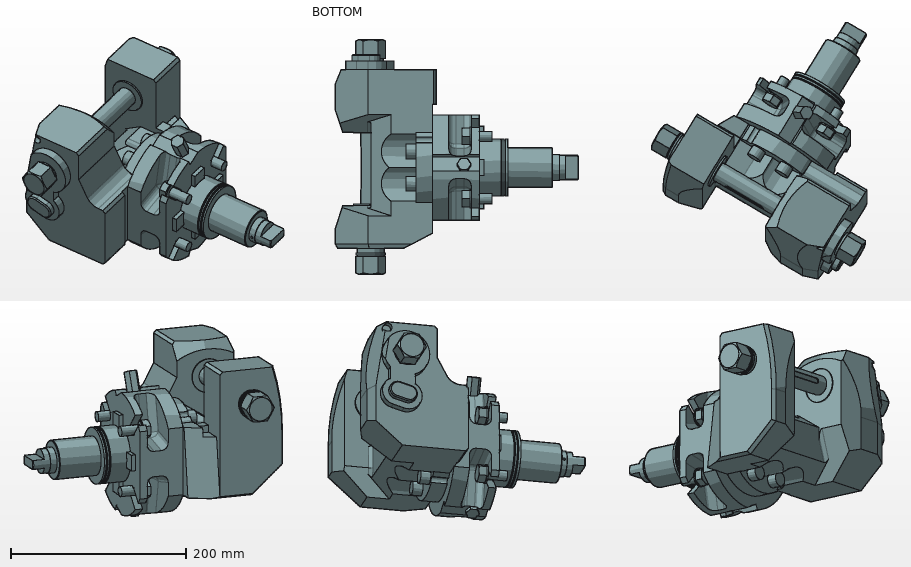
import cadquery as cq
import math


BODY_FRONT = -164.5
BODY_TOP = 109.2
BODY_HALF_HEIGHT = 40.2
BODY_BACK = -53.2
LEFT_INNER, LEFT_OUTER = 43.5, 92.0
RIGHT_INNER, RIGHT_OUTER = -40.2, -111.5
ARM_BACK = -85.7
FRONT_ARC_START = 30.2
FRONT_TOP = -152.5
BEVEL_CORNER = -155.8
RIGHT_BEVEL_START = -95.0
RIGHT_BEVEL_END = -157.8
WEB_FRONT = -123.5
WEB_HALF_HEIGHT = 19.7
SIDE_FLOOR = 30.2

FLANGE_RADIUS, FLANGE_FRONT = 56.5, -72.0
HOUSING_RADIUS = 72.0
HOUSING_HALF_WIDTH = 60.2
POCKET_FRONT, POCKET_BACK = -35.0, -9.1
POCKET_APEX = 22.7
POCKET_EDGE = 15.0
CLAMP_OFFSET = 35.5
CLAMP_RADIUS = 5.8
BODY_BOLT_Y, BODY_BOLT_Z = 18.3, 38.8
BODY_BOLT_RADIUS = 8.3

SCREW_TILT = 25
SCREW_X = -17.5
SCREW_CORNER_RADIUS = 8.0
NOTCH_EDGE = 4.0
NOTCH_LENGTH = 17.5

PIN_X, PIN_Z = -124.0, 69.3
PIN_RADIUS = 11.5
NUT_CORNER_RADIUS = 17.2
NUT_LEFT_END, NUT_RIGHT_END = 121.7, -145.8
LEVER_FACE = -121.5


def along_x(x_start, x_end, radius, y=0, z=0):
    """Cylinder parallel to X."""
    return cq.Workplane("YZ", origin=(x_start, y, z)).circle(radius).extrude(x_end - x_start)


def along_y(y_start, y_end, radius, x=PIN_X, z=PIN_Z):
    """Cylinder parallel to Y; the XZ workplane normal is -Y."""
    return cq.Workplane("XZ", origin=(x, y_start, z)).circle(radius).extrude(y_start - y_end)


def block(x_range, y_range, z_range):
    sizes = [end - start for start, end in (x_range, y_range, z_range)]
    corner = (x_range[0], y_range[0], z_range[0])
    return cq.Workplane("XY").box(*sizes, centered=False).translate(corner)


def profile_y(points, y_start, y_end):
    """Prism along Y from a polygon in X and Z."""
    return cq.Workplane("XZ", origin=(0, y_start, 0)).polyline(points).close().extrude(y_start - y_end)


def half_space(a, b, c, outward):
    """Large block beyond the plane through three points, on the side of the outward direction."""
    origin = cq.Vector(*a)
    along = cq.Vector(*b) - origin
    normal = along.cross(cq.Vector(*c) - origin)
    if normal.dot(cq.Vector(*outward)) < 0:
        normal = -normal
    size = 554.5
    plane = cq.Plane(origin=a, xDir=along.toTuple(), normal=normal.toTuple())
    return cq.Workplane(plane).rect(size, size).extrude(size)


def hex_head(origin, x_dir, normal, corner_radius, length, chamfer=3.3):
    """Hexagonal head with one corner on x_dir, growing along the normal, its far corners turned down."""
    prism = cq.Workplane("XY").polygon(6, 2 * corner_radius).extrude(length)
    envelope = cq.Workplane("XY").circle(corner_radius).extrude(length)
    envelope = envelope.faces(">Z").chamfer(chamfer / 2, chamfer)
    head = prism.intersect(envelope)
    return cq.Workplane(head.val().moved(cq.Location(cq.Plane(origin, x_dir, normal))))


def arm(y_start, y_end):
    """One arm of the body: rounded front, sloped chin and a swept step down to the housing."""
    front_middle = (-161.6, 70.0)
    top_chamfer = 3.3
    ramp_top = (ARM_BACK, 70.7)
    ramp_foot = (-73.5, 48.2)
    sweep_middle = (-67.5, 42.7)
    sweep_end = (-58.5, BODY_HALF_HEIGHT)
    chin_x, chin_z = -126.7, -7.5
    return (
        cq.Workplane("XZ", origin=(0, y_start, 0))
        .moveTo(BODY_FRONT, chin_z)
        .lineTo(BODY_FRONT, FRONT_ARC_START)
        .threePointArc(front_middle, (FRONT_TOP, BODY_TOP))
        .lineTo(ARM_BACK - top_chamfer, BODY_TOP)
        .lineTo(ARM_BACK, BODY_TOP - top_chamfer)
        .lineTo(*ramp_top)
        .lineTo(*ramp_foot)
        .threePointArc(sweep_middle, sweep_end)
        .lineTo(BODY_BACK, BODY_HALF_HEIGHT)
        .lineTo(BODY_BACK, -BODY_HALF_HEIGHT)
        .lineTo(chin_x, -BODY_HALF_HEIGHT)
        .close()
        .extrude(y_start - y_end)
    )


def left_arm():
    chamfer_width, chamfer_depth = 5.0, 2.8
    bevel_start = 70.0
    taper_low, taper_high = 75.0, 63.0
    body = arm(LEFT_INNER, LEFT_OUTER)
    front_edges = cq.selectors.BoxSelector(
        (BODY_FRONT - 2.8, LEFT_OUTER - 0.3, -BODY_HALF_HEIGHT - 2.8),
        (ARM_BACK, LEFT_OUTER + 0.3, BODY_TOP - 2.8),
    )
    body = body.edges(front_edges).chamfer(chamfer_width, chamfer_depth)
    bevel = half_space(
        (BODY_FRONT, bevel_start, 0),
        (BEVEL_CORNER, LEFT_INNER, 0),
        (BODY_FRONT, bevel_start, 2.8),
        (-1, 0, 0),
    )
    rear_taper = half_space(
        (ARM_BACK, LEFT_OUTER, -BODY_HALF_HEIGHT),
        (BODY_BACK, taper_low, -BODY_HALF_HEIGHT),
        (BODY_BACK, taper_high, BODY_HALF_HEIGHT),
        (0, 1, 0),
    )
    rear_heights = (-BODY_HALF_HEIGHT, BODY_HALF_HEIGHT)
    rear_zone = block((ARM_BACK, BODY_BACK), (LEFT_INNER, LEFT_OUTER), rear_heights)
    rear_taper = rear_taper.intersect(rear_zone)
    rear_step = block((ARM_BACK, FLANGE_FRONT), (LEFT_INNER, LEFT_OUTER), (SIDE_FLOOR, BODY_TOP))
    rear_ledge = block((FLANGE_FRONT, BODY_BACK), (LEFT_INNER, LEFT_OUTER), (BODY_HALF_HEIGHT, BODY_TOP))
    return body.cut(bevel).cut(rear_taper).cut(rear_step).cut(rear_ledge)


def lever():
    """Plate on the right arm that joins the pin disc to a slanted key boss."""
    key_x, key_z = -129.2, 19.5
    key_spacing, key_slant = 13.3, -15
    plate_radius, boss_radius = 17.0, 9.7
    boss_end = -129.0
    disc_radius = 27.0
    neck = block((-143.0, -114.0), (LEVER_FACE, RIGHT_OUTER), (key_z, PIN_Z))
    plate = along_y(RIGHT_OUTER, LEVER_FACE, disc_radius).union(neck)
    for radius, face in ((plate_radius, LEVER_FACE), (boss_radius, boss_end)):
        pad = (
            cq.Workplane("XZ", origin=(key_x, RIGHT_OUTER, key_z))
            .transformed(rotate=(0, 0, key_slant))
            .slot2D(key_spacing + 2 * radius, 2 * radius)
            .extrude(RIGHT_OUTER - face)
        )
        if radius == boss_radius:
            pad = pad.faces("<Y").chamfer(1.5)
        plate = plate.union(pad)
    return plate


def right_arm():
    body = arm(RIGHT_INNER, RIGHT_OUTER).union(lever())

    inner_bevel_start = -65.7
    inner_bevel = half_space(
        (BODY_FRONT, inner_bevel_start, 0),
        (BEVEL_CORNER, RIGHT_INNER, 0),
        (BODY_FRONT, inner_bevel_start, 2.8),
        (-1, 0, 0),
    )
    bevel_top = RIGHT_BEVEL_START + 1.5
    start = (BODY_FRONT, RIGHT_BEVEL_START, FRONT_ARC_START)
    end = (RIGHT_BEVEL_END, RIGHT_OUTER, FRONT_ARC_START)
    lower_bevel = half_space(start, end, (BODY_FRONT, RIGHT_BEVEL_START, 0), (-1, 0, 0))
    upper_bevel = half_space(start, end, (FRONT_TOP, bevel_top, BODY_TOP), (-1, 0, 0))
    body = body.cut(inner_bevel).cut(lower_bevel).cut(upper_bevel)

    cone_x, cone_z = -123.5, 29.0
    inner_radius, outer_radius, cone_depth = 71.5, 113.0, 41.5
    cone = cq.Workplane("XZ", origin=(cone_x, RIGHT_INNER, cone_z)).circle(inner_radius)
    cone = cone.workplane(offset=cone_depth).circle(outer_radius).loft()
    relief = block((-194, -69.3), (RIGHT_INNER - cone_depth, RIGHT_INNER), (cone_z, 138.5)).cut(cone)
    body = body.cut(relief)

    pad_chamfer = 3.3
    pad_back, pad_inner = -49.0, -72.0
    pad = block((BODY_BACK - 5.5, pad_back), (RIGHT_OUTER, pad_inner), (-BODY_HALF_HEIGHT, BODY_HALF_HEIGHT))
    pad = pad.faces(">X").edges("|Y").chamfer(pad_chamfer)
    hole_depth, hole_radius = 7.0, 5.0
    hole = along_y(RIGHT_OUTER + hole_depth, RIGHT_OUTER - 2.8, hole_radius, x=-144.0, z=102.5)
    return body.union(pad).cut(hole)


def web():
    """Bridge between the arms, hollowed around the flange bolts."""
    chamfer_run = 22.7
    ledge_z = 38.3
    ledge_x = -94.3
    right_overlap, left_overlap = 22.2, 14.0
    bridge = profile_y(
        [
            (WEB_FRONT, -WEB_HALF_HEIGHT),
            (WEB_FRONT, WEB_HALF_HEIGHT),
            (ledge_x, ledge_z),
            (BODY_BACK, ledge_z),
            (BODY_BACK, -BODY_HALF_HEIGHT),
            (WEB_FRONT + chamfer_run, -BODY_HALF_HEIGHT),
        ],
        RIGHT_INNER - right_overlap,
        LEFT_INNER + left_overlap,
    )
    scallop_radius = 25.0
    scallop_z = SIDE_FLOOR + scallop_radius
    for y in (-BODY_BOLT_Y, BODY_BOLT_Y):
        for z in (-scallop_z, scallop_z):
            bridge = bridge.cut(along_x(WEB_FRONT - 2.8, FLANGE_FRONT, scallop_radius, y, z))
    side_floor = block((WEB_FRONT - 2.8, FLANGE_FRONT), (BODY_BOLT_Y, LEFT_INNER), (SIDE_FLOOR, 55.5))
    return bridge.cut(side_floor)


def chin_flare():
    """Space in front of the web that widens toward the bottom between the arms."""
    bottom = -BODY_HALF_HEIGHT - 2.8
    left_start, left_foot = -9.0, 56.0
    right_start, right_foot = 18.0, -61.3
    corners = [(LEFT_INNER, left_start), (left_foot, bottom), (right_foot, bottom), (RIGHT_INNER, right_start)]
    return (
        cq.Workplane("YZ", origin=(BODY_FRONT - 2.8, 0, 0))
        .polyline(corners)
        .close()
        .extrude(FLANGE_FRONT - BODY_FRONT)
    )


def corner_pocket():
    """V-shaped pocket with rounded floor edges for the clamp bolt in the +Y +Z corner."""
    reach = 83.2
    slope = (POCKET_APEX - POCKET_EDGE) / (HOUSING_HALF_WIDTH - POCKET_APEX)
    low = POCKET_APEX - slope * (reach - POCKET_APEX)
    wedge = (
        cq.Workplane("YZ", origin=(POCKET_FRONT, 0, 0))
        .polyline([(POCKET_APEX, POCKET_APEX), (reach, low), (reach, reach), (low, reach)])
        .close()
        .extrude(POCKET_BACK - POCKET_FRONT)
    )
    apex = cq.selectors.NearestToPointSelector((POCKET_FRONT / 2, POCKET_APEX, POCKET_APEX))
    apex_radius, floor_radius = 6.0, 8.3
    wedge = wedge.edges("|X").edges(apex).fillet(apex_radius)
    inner_zone = cq.selectors.BoxSelector((POCKET_FRONT - 2.8, 0, 0), (0, reach - 2.8, reach - 2.8))
    return wedge.edges("not |X").edges(inner_zone).fillet(floor_radius)


def clamp_bolt():
    """Hexagon bolt through the housing rim in the +Y +Z corner."""
    head_start, washer_start, shank_end = -20.0, -10.8, 14.5
    center = (washer_start, CLAMP_OFFSET, CLAMP_OFFSET)
    head_radius, head_chamfer = 10.8, 1.0
    head_length = washer_start - head_start
    head = hex_head(center, (0, 0, 1), (-1, 0, 0), head_radius, head_length, head_chamfer)
    washer = along_x(washer_start, POCKET_BACK, head_radius, CLAMP_OFFSET, CLAMP_OFFSET)
    shank = along_x(washer_start, shank_end, CLAMP_RADIUS, CLAMP_OFFSET, CLAMP_OFFSET)
    return head.union(washer).union(shank)


def clamp_slot():
    """Radial slot through the rear rim that lets the clamp bolt slide in."""
    length, width = 55.5, 14.0
    center = CLAMP_OFFSET + length / 2 * math.sqrt(0.5)
    slot = block((POCKET_BACK, 0), (-length / 2, length / 2), (-width / 2, width / 2))
    return slot.rotate((0, 0, 0), (1, 0, 0), 45).translate((0, center, center))


def in_each_corner(shape):
    pair = shape.union(shape.mirror("XZ"))
    return pair.union(pair.mirror("XY"))


def screw_notch():
    """Step in the housing rim whose floor is square to the tilted adjusting screw."""
    height = 27.7
    notch = block((BODY_BACK, 0), (-NOTCH_LENGTH, 0), (0, height))
    edge_z = math.sqrt(HOUSING_RADIUS**2 - NOTCH_EDGE**2)
    return notch.rotate((0, 0, 0), (1, 0, 0), SCREW_TILT).translate((0, NOTCH_EDGE, edge_z))


def adjusting_screw(head_y, head_z, side):
    """Hexagonal screw leaning toward -Y; side is 1 on top of the housing and -1 below."""
    length = 29.0
    lean = math.radians(SCREW_TILT)
    axis = (0, -math.sin(lean), side * math.cos(lean))
    start = (SCREW_X, head_y - length * axis[1], head_z - length * axis[2])
    chamfer = 0.5
    return hex_head(start, (1, 0, 0), axis, SCREW_CORNER_RADIUS, length, chamfer)


def housing():
    disc = along_x(BODY_BACK, 0, HOUSING_RADIUS)
    flats = block(
        (BODY_BACK, 0), (-HOUSING_HALF_WIDTH, HOUSING_HALF_WIDTH), (-HOUSING_RADIUS, HOUSING_RADIUS)
    )
    notch = screw_notch()
    solid = disc.intersect(flats)
    solid = solid.cut(in_each_corner(corner_pocket().union(clamp_slot())))
    solid = solid.cut(notch).cut(notch.mirror("XY"))
    solid = solid.union(in_each_corner(clamp_bolt()))
    upper_screw = adjusting_screw(head_y=-12.2, head_z=91.2, side=1)
    lower_screw = adjusting_screw(head_y=-4.2, head_z=-73.0, side=-1)
    return solid.union(upper_screw).union(lower_screw)


def flange():
    """Disc between web and housing with two rim notches and the heads of four body bolts."""
    bolt_head_start = -83.7
    notch_radius, notch_angle = 4.0, math.radians(56)
    notch_y, notch_z = FLANGE_RADIUS * math.cos(notch_angle), FLANGE_RADIUS * math.sin(notch_angle)
    ring = along_x(FLANGE_FRONT, BODY_BACK, FLANGE_RADIUS)
    for side in (-1, 1):
        ring = ring.cut(along_x(FLANGE_FRONT, BODY_BACK, notch_radius, side * notch_y, side * notch_z))
    bolt = along_x(bolt_head_start, FLANGE_FRONT, BODY_BOLT_RADIUS, BODY_BOLT_Y, BODY_BOLT_Z)
    return ring.union(in_each_corner(bolt))


def spindle():
    """Stepped shaft behind the housing with ring grooves, driving keys and a flat tang."""
    hub_end, hub_radius = 32.5, 32.7
    shaft_end, shaft_radius = 83.5, 22.7
    collar_end, collar_radius = 91.2, 15.0
    tail_end, tail_radius = 98.5, 14.1
    tang_end, tang_thickness = 112.8, 10.5
    hub = along_x(0, hub_end, hub_radius)
    groove_width, groove_depth = 1.5, 1.0
    for x in (24.5, 28.3):
        groove = along_x(x, x + groove_width, hub_radius)
        hub = hub.cut(groove.cut(along_x(x, x + groove_width, hub_radius - groove_depth)))
    shaft = along_x(0, shaft_end, shaft_radius).faces(">X").chamfer(0.8)
    collar = along_x(shaft_end, collar_end, collar_radius)
    collar = collar.cut(along_y(0, -collar_radius, 1.5, x=87.3, z=0))
    tail = along_x(collar_end, tail_end, tail_radius)
    tang = along_x(tail_end, tang_end, tail_radius).faces(">X").chamfer(1.0)
    tang = tang.intersect(
        block((tail_end, tang_end), (-tail_radius, tail_radius), (-tang_thickness / 2, tang_thickness / 2))
    )
    shape = hub.union(shaft).union(collar).union(tail).union(tang)

    key_depth, key_width, key_radius = 5.0, 18.5, 47.0
    for width_y, width_z in ((2 * key_radius, key_width), (key_width, 2 * key_radius)):
        shape = shape.union(cq.Workplane("YZ").rect(width_y, width_z).extrude(key_depth))
    return shape


def cross_pin():
    """Pin through both arms with a hexagon nut on each end and washers at the arms."""
    pin = along_y(NUT_LEFT_END - 2.8, NUT_RIGHT_END + 2.8, PIN_RADIUS)
    keyway_length, keyway_width, keyway_depth = 50.7, 6.0, 1.7
    keyway = (
        cq.Workplane("YZ", origin=(PIN_X - PIN_RADIUS - 2.8, 0.5, PIN_Z))
        .slot2D(keyway_length, keyway_width)
        .extrude(2.8 + keyway_depth)
    )
    pin = pin.cut(keyway)

    left_nut_seat, right_nut_seat = 101.2, -124.2
    left_length = NUT_LEFT_END - left_nut_seat
    right_length = right_nut_seat - NUT_RIGHT_END
    left_seat = (PIN_X, left_nut_seat, PIN_Z)
    right_seat = (PIN_X, right_nut_seat, PIN_Z)
    left_nut = hex_head(left_seat, (1, 0, 0), (0, 1, 0), NUT_CORNER_RADIUS, left_length)
    right_nut = hex_head(right_seat, (1, 0, 0), (0, -1, 0), NUT_CORNER_RADIUS, right_length)
    pin = pin.union(left_nut).union(right_nut)

    collars = (
        (LEFT_OUTER, left_nut_seat, 15.5),
        (97.3, 99.8, 17.0),
        (LEVER_FACE, right_nut_seat, 14.5),
        (LEFT_INNER, 41.3, 19.7),
        (RIGHT_INNER, -39.0, 19.7),
    )
    for start, end, radius in collars:
        pin = pin.union(along_y(start, end, radius))
    return pin


def two_armed_body():
    """Arms joined by the web, with rounded corners where the web face meets the arms."""
    solid = left_arm().union(right_arm()).cut(chin_flare()).union(web())
    corner_zone = cq.selectors.BoxSelector(
        (WEB_FRONT - 0.3, RIGHT_INNER - 14, -WEB_HALF_HEIGHT),
        (WEB_FRONT + 0.3, LEFT_INNER + 14, WEB_HALF_HEIGHT),
    )
    shortest, corner_radius = 2.8, 4.2
    corners = solid.edges(corner_zone).edges("not |Y").filter(lambda edge: edge.Length() > shortest)
    return corners.fillet(corner_radius)


result = two_armed_body().union(flange()).union(housing()).union(spindle()).union(cross_pin())